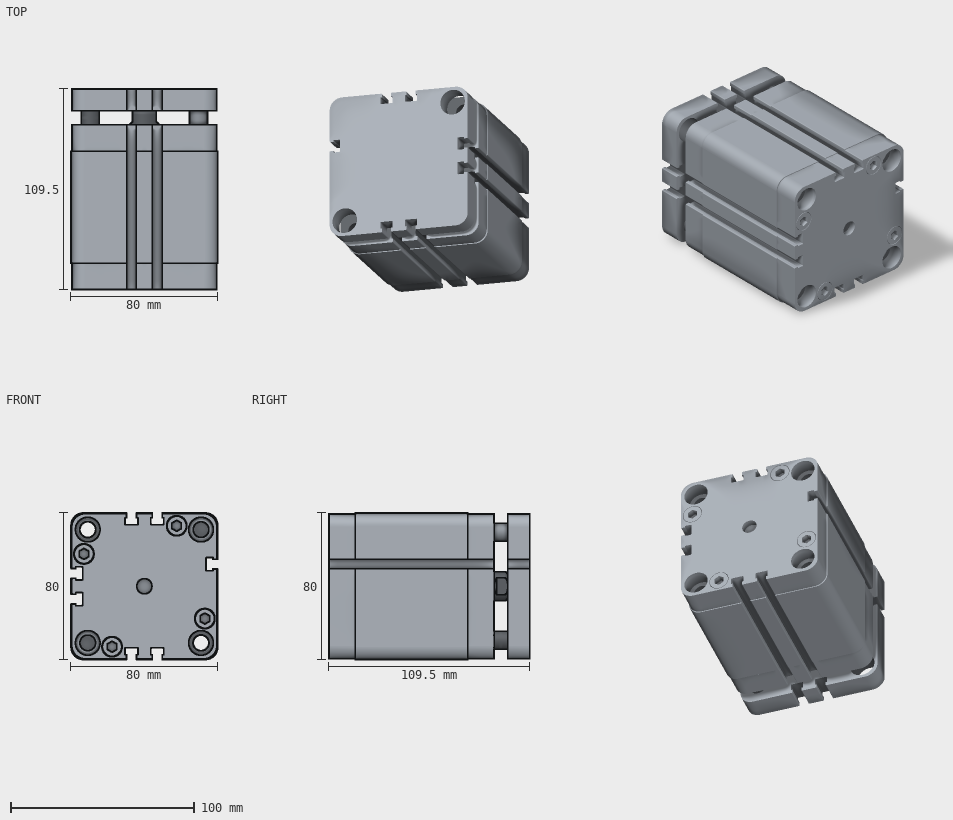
import cadquery as cq
import math

total_length = 109.5
cap_length = 14.5
tube_length = 61.1
plate_gap = 7.5
front_y = -total_length / 2
tube_front_y = front_y + cap_length
tube_back_y = tube_front_y + tube_length
body_back_y = tube_back_y + cap_length
plate_front_y = body_back_y + plate_gap
plate_back_y = total_length / 2

tube_side = 80.0
cap_side = 79.1
corner_radius = 7.0

slot_offset = 7.0
single_slot_offset = 12.0
slot_neck_width = 5.3
slot_pocket_width = 7.0
slot_floor = 33.6
slot_shoulder = 37.3
slot_lip_radius = 0.4
slot_floor_radius = 0.4
slot_places = [(angle, side * slot_offset) for angle in (0, 180, 270) for side in (-1, 1)]
slot_places.append((90, -single_slot_offset))

mount_offset = 30.9
mount_hole_diameter = 8.5
mount_bore_diameter = 13.5
mount_bore_depth = 8.8
plate_hole_diameter = 14.0

center_hole_diameter = 8.3
center_hole_depth = 3.9

screw_near_offset = 17.6
screw_far_offset = 33.0
screw_bore_diameter = 11.1
screw_head_diameter = 10.5
screw_head_height = 6.0
socket_corner_diameter = 6.0
socket_depth = 4.0

rod_diameter = 16.0
rod_end_radius = 1.9
rod_flat_width = 13.0
rod_flat_length = 5.9
guide_offset = 29.5
guide_diameter = 10.0

mount_points = [(sx * mount_offset, sz * mount_offset) for sx in (-1, 1) for sz in (-1, 1)]
access_points = [point for point in mount_points if point[0] * point[1] < 0]
guided_points = [point for point in mount_points if point[0] * point[1] > 0]
guide_points = [(-guide_offset, -guide_offset), (guide_offset, guide_offset)]
screw_points = [
    (screw_near_offset, screw_far_offset),
    (screw_far_offset, -screw_near_offset),
    (-screw_near_offset, -screw_far_offset),
    (-screw_far_offset, screw_near_offset),
]


def plane_at(y):
    """XZ workplane at the given Y; negative extrusions run toward +Y."""
    return cq.Workplane("XZ", origin=(0, y, 0))


def cylinders(points, diameter, start_y, end_y):
    return plane_at(start_y).pushPoints(points).circle(diameter / 2).extrude(start_y - end_y)


def rounded_block(side, start_y, end_y):
    block = plane_at(start_y).rect(side, side).extrude(start_y - end_y)
    return block.edges("|Y").fillet(corner_radius)


def t_slot(face, offset, start_y, end_y):
    """T-slot cutter opening through the given face toward +Z, its mouth flared by rounded lips."""
    half_neck = slot_neck_width / 2
    half_mouth = half_neck + slot_lip_radius
    lip_bottom = face - slot_lip_radius
    arc_inset = slot_lip_radius * (1 - math.sqrt(0.5))
    neck = (
        plane_at(start_y)
        .center(offset, 0)
        .moveTo(-half_neck, slot_floor)
        .lineTo(half_neck, slot_floor)
        .lineTo(half_neck, lip_bottom)
        .threePointArc((half_neck + arc_inset, face - arc_inset), (half_mouth, face))
        .lineTo(-half_mouth, face)
        .threePointArc((-half_neck - arc_inset, face - arc_inset), (-half_neck, lip_bottom))
        .close()
        .extrude(start_y - end_y)
    )
    pocket = (
        plane_at(start_y)
        .center(offset, (slot_floor + slot_shoulder) / 2)
        .rect(slot_pocket_width, slot_shoulder - slot_floor)
        .extrude(start_y - end_y)
        .faces("<Z")
        .edges("|Y")
        .fillet(slot_floor_radius)
    )
    return neck.union(pocket)


def slotted_block(side, start_y, end_y):
    """Rounded square block with T-slots in its four sides."""
    block = rounded_block(side, start_y, end_y)
    for angle, offset in slot_places:
        slot = t_slot(side / 2, offset, start_y, end_y)
        block = block.cut(slot.rotate((0, 0, 0), (0, 1, 0), angle))
    return block


def make_body():
    body = slotted_block(cap_side, front_y, tube_front_y)
    body = body.union(slotted_block(tube_side, tube_front_y, tube_back_y))
    body = body.union(slotted_block(cap_side, tube_back_y, body_back_y))
    body = body.cut(cylinders(mount_points, mount_bore_diameter, front_y, front_y + mount_bore_depth))
    body = body.cut(cylinders(access_points, mount_hole_diameter, front_y, body_back_y))
    body = body.cut(cylinders(guided_points, mount_hole_diameter, front_y, tube_front_y))
    return body.cut(cylinders([(0, 0)], center_hole_diameter, front_y, front_y + center_hole_depth))


def add_screws(body):
    """Sink flush socket head screws into counterbores in the front face."""
    head_bottom_y = front_y + screw_head_height
    body = body.cut(cylinders(screw_points, screw_bore_diameter, front_y, head_bottom_y))
    body = body.union(cylinders(screw_points, screw_head_diameter, front_y, head_bottom_y))
    for x, z in screw_points:
        socket = plane_at(front_y).polygon(6, socket_corner_diameter).extrude(-socket_depth)
        socket = socket.rotate((0, 0, 0), (0, 1, 0), 90)
        body = body.cut(socket.translate((x, 0, z)))
    return body


def make_plate():
    plate = slotted_block(cap_side, plate_front_y, plate_back_y)
    return plate.cut(cylinders(access_points, plate_hole_diameter, plate_front_y, plate_back_y))


def make_piston_rod():
    """Rod rounded at the plate end, with two wrench flats running out at 45 degrees."""
    rod = cylinders([(0, 0)], rod_diameter, body_back_y, plate_front_y)
    rod = rod.faces(">Y").edges().fillet(rod_end_radius)
    flat_x = rod_flat_width / 2
    flat_end_y = plate_front_y - rod_flat_length
    runout = rod_diameter / 2 - flat_x
    flat = (
        cq.Workplane("XY", origin=(0, 0, -rod_diameter / 2))
        .moveTo(flat_x, plate_front_y)
        .lineTo(flat_x, flat_end_y)
        .lineTo(flat_x + runout, flat_end_y - runout)
        .lineTo(flat_x + runout, plate_front_y)
        .close()
        .extrude(rod_diameter)
    )
    return rod.cut(flat).cut(flat.mirror("YZ"))


result = (
    add_screws(make_body())
    .union(make_plate())
    .union(make_piston_rod())
    .union(cylinders(guide_points, guide_diameter, body_back_y, plate_front_y))
)